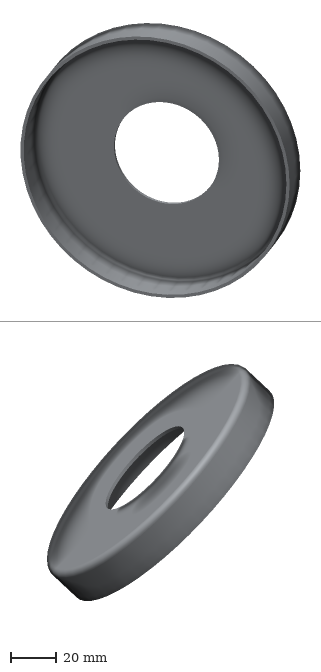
import cadquery as cq

outer_diameter = 125.0
depth = 18.0
wall = 1.5
hole_diameter = 48.8
outer_corner_radius = 2 * wall
inner_corner_radius = outer_corner_radius - wall


def rounded_disc(diameter, length, corner_radius):
    """Disc from Y = 0 to Y = length with its +Y rim rounded."""
    disc = cq.Workplane("XZ").circle(diameter / 2).extrude(-length)
    return disc.faces(">Y").edges().fillet(corner_radius)


shell = rounded_disc(outer_diameter, depth, outer_corner_radius)
cavity = rounded_disc(outer_diameter - 2 * wall, depth - wall, inner_corner_radius)
center_hole = cq.Workplane("XZ").circle(hole_diameter / 2).extrude(-depth)

result = shell.cut(cavity).cut(center_hole)